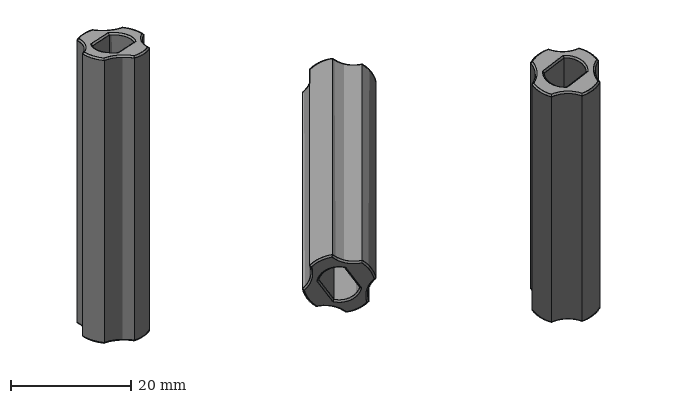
import cadquery as cq

LENGTH = 53.12
OUTER_DIAMETER = 12.47
FLUTE_COUNT = 4
FLUTE_RADIUS = 5.0
FLUTE_CENTER_RADIUS = 10.0
BORE_DIAMETER = 7.0
BORE_ACROSS_FLATS = 5.0
EDGE_CHAMFER = 0.3

first_flute_angle = 360 / FLUTE_COUNT / 2


def make_fluted_bar():
    """Round bar with concave flutes along its full length."""
    bar = cq.Workplane("XY").circle(OUTER_DIAMETER / 2).extrude(LENGTH)
    flutes = (
        cq.Workplane("XY")
        .polarArray(FLUTE_CENTER_RADIUS, first_flute_angle, 360, FLUTE_COUNT)
        .circle(FLUTE_RADIUS)
        .extrude(LENGTH)
    )
    return bar.cut(flutes)


def make_bore():
    """Through bore with two opposite flats facing along X."""
    round_bore = cq.Workplane("XY").circle(BORE_DIAMETER / 2).extrude(LENGTH)
    flats = cq.Workplane("XY").rect(BORE_ACROSS_FLATS, BORE_DIAMETER).extrude(LENGTH)
    return round_bore.intersect(flats)


def chamfer_ends(body):
    """Break the outer and bore edges at both ends."""
    return body.faces("<Z or >Z").edges().chamfer(EDGE_CHAMFER)


result = chamfer_ends(make_fluted_bar().cut(make_bore()))